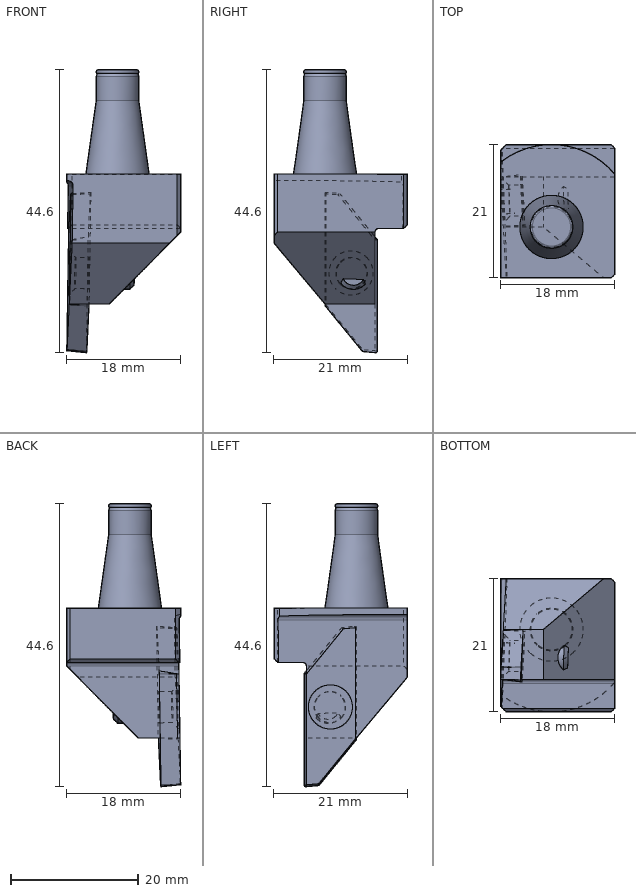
import cadquery as cq
import math


x_min, x_max = -8.02, 10.0
y_min = -8.02
flange_radius = 12.97
y_max = flange_radius
corner_step = 0.1
edge_chamfer = 0.6
rake_corner_chamfer = 0.9
block_bottom = -8.6
foot_bottom = -20.5
foot_y_max = 7.9
foot_x_max = -1.3
overhang_fillet = 0.6
front_slope_top = -10.9
back_slope_top = -9.15

shank_height = 16.4
shank_radius = 6.75 / 2
shank_base_radius = 5.0
cone_height = 11.55
notch_depth = 0.15
notch_bottom = shank_height - 1.05
bead_radius = 0.35

rake_x = -7.25
rake_yaw = 2.2
rake_pitch = 0.9
lip_height = 1.05
lip_fillet = 0.85

insert_thickness = 3.1
insert_flank_angle = 5.0
insert_y_min, insert_y_max = 0.15, 7.85
insert_top = -3.1
insert_bottom = -27.85
insert_end_width = 1.9
insert_end_drop = 0.2
insert_side_length = 17.48

screw_y, screw_z = 4.1, -15.6
screw_radius = 4.9 / 2
screw_head_radius = 3.48
screw_end_x = 3.05
screw_end_chamfer = 0.65


def on_rake(shape):
    """Move a shape modelled on the plane X = 0 onto the tilted rake plane."""
    origin = (0, 0, 0)
    yawed = shape.rotate(origin, (0, 0, 1), rake_yaw)
    return yawed.rotate(origin, (0, 1, 0), rake_pitch).translate((rake_x, 0, 0))


def make_block():
    """Holder block: the common volume of its outlines along Z, X and Y."""
    height = -foot_bottom
    width = x_max - x_min
    length = y_max - y_min
    footprint = (
        cq.Workplane("XY")
        .polyline([
            (x_min, y_min),
            (x_max - edge_chamfer, y_min),
            (x_max, y_min + edge_chamfer),
            (x_max, y_max - edge_chamfer),
            (x_max - edge_chamfer, y_max),
            (x_min + rake_corner_chamfer, y_max),
            (x_min, y_max - rake_corner_chamfer),
        ])
        .close()
        .extrude(-height)
    )
    side_outline = (
        cq.Workplane("YZ", origin=(x_min, 0, 0))
        .moveTo(y_min, 0)
        .lineTo(y_max, 0)
        .lineTo(y_max, block_bottom + edge_chamfer)
        .lineTo(y_max - edge_chamfer, block_bottom)
        .lineTo(foot_y_max + overhang_fillet, block_bottom)
        .radiusArc((foot_y_max, block_bottom - overhang_fillet), -overhang_fillet)
        .lineTo(foot_y_max, foot_bottom)
        .lineTo(0, foot_bottom)
        .lineTo(y_min, front_slope_top)
        .close()
        .extrude(width)
    )
    back_outline = (
        cq.Workplane("XZ", origin=(0, y_max, 0))
        .polyline([
            (x_min, 0),
            (x_max, 0),
            (x_max, back_slope_top),
            (foot_x_max, foot_bottom),
            (x_min, foot_bottom),
        ])
        .close()
        .extrude(length)
    )
    return footprint.intersect(side_outline).intersect(back_outline)


def make_corner_step():
    """Layer removed from the block top outside the round mounting face."""
    layer_size = 4 * flange_radius
    layer = cq.Workplane("XY").rect(layer_size, layer_size).extrude(-corner_step)
    return layer.cut(cq.Workplane("XY").circle(flange_radius).extrude(-corner_step))


def make_rake_recess():
    """Volume in front of the rake plane, below the lip, with a rounded inner edge."""
    recess_size = 2 * shank_height + 2 * flange_radius
    recess = (
        cq.Workplane("XY")
        .box(recess_size, recess_size, recess_size)
        .translate((-recess_size / 2, 0, -lip_height - recess_size / 2))
        .edges(">X and >Z")
        .fillet(lip_fillet)
    )
    return on_rake(recess)


def make_shank():
    """Conical shank with a short cylinder, a shallow notch and an end bead."""
    bead_z = shank_height - bead_radius
    bead_rise = math.sqrt(bead_radius**2 - (bead_radius - notch_depth)**2)
    return (
        cq.Workplane("XZ")
        .lineTo(shank_base_radius, 0)
        .lineTo(shank_radius, cone_height)
        .lineTo(shank_radius, notch_bottom)
        .lineTo(shank_radius - notch_depth, bead_z - bead_rise)
        .threePointArc((shank_radius, bead_z), (shank_radius - bead_radius, shank_height))
        .lineTo(0, shank_height)
        .close()
        .revolve(360, (0, 0, 0), (0, 1, 0))
    )


def make_screw():
    """Countersunk screw whose head is flush with the rake plane."""
    screw_length = screw_end_x - rake_x
    head_depth = screw_head_radius - screw_radius
    screw = (
        cq.Workplane("XY")
        .lineTo(0, screw_head_radius)
        .lineTo(head_depth, screw_radius)
        .lineTo(screw_length - screw_end_chamfer, screw_radius)
        .lineTo(screw_length, screw_radius - screw_end_chamfer)
        .lineTo(screw_length, 0)
        .close()
        .revolve(360, (0, 0, 0), (1, 0, 0))
        .translate((0, screw_y, screw_z))
    )
    return on_rake(screw)


def make_insert_blank():
    """Six-sided insert without its screw hole; half a turn maps it onto itself."""
    blank = (
        cq.Workplane("YZ")
        .polyline([
            (insert_y_min, insert_top),
            (insert_y_min + insert_end_width, insert_top - insert_end_drop),
            (insert_y_max, insert_bottom + insert_side_length),
            (insert_y_max, insert_bottom),
            (insert_y_max - insert_end_width, insert_bottom + insert_end_drop),
            (insert_y_min, insert_top - insert_side_length),
        ])
        .close()
        .extrude(insert_thickness, taper=-insert_flank_angle)
    )
    return on_rake(blank)


screw = make_screw()
insert_blank = make_insert_blank()

holder = (
    make_block()
    .cut(make_corner_step())
    .cut(make_rake_recess())
    .union(make_shank())
    .cut(insert_blank)
    .union(screw)
)
insert = insert_blank.cut(screw)

result = cq.Compound.makeCompound([holder.solids().val(), insert.solids().val()])